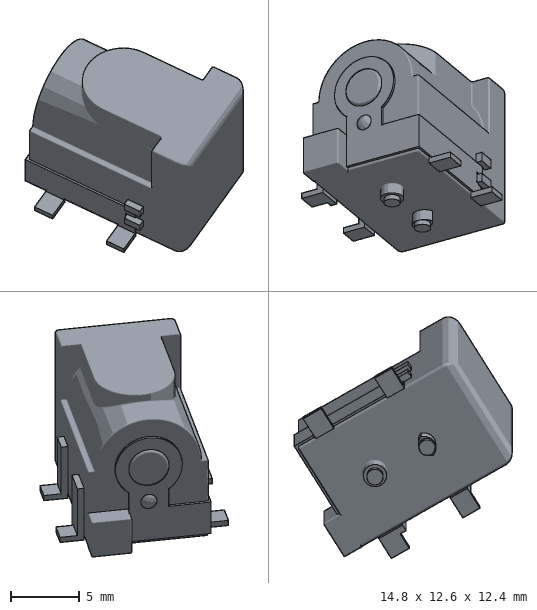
import cadquery as cq

HOUSING_FRONT = 1.4
HOUSING_BACK = 14.8
HOUSING_HALF_WIDTH = 4.5
HOUSING_HEIGHT = 11.2
BACK_ROUND = 1.0
LONG_EDGE_ROUND = 0.2
SMALL_ROUND = 0.1

AXIS_Z = 6.5
BARREL_RADIUS = 4.0
LEDGE_Z = AXIS_Z
COLLAR_X = 11.8
PAD_RADIUS = 3.0
PAD_CENTER_X = 6.81

BLOCK_INNER_Y = 1.5
BLOCK_HEIGHT = 2.99

PLATE_FRONT = 1.2
PLATE_SIDE_Y = -4.66
PLATE_BOTTOM = 0.31
PLATE_DISC_DIAMETER = 5.0
PLATE_END_X = 10.52
NOTCH_X = 9.71
NOTCH_TOP = 2.18
NOTCH_BOTTOM = 1.39
NOTCH_RAMP_END_Z = 0.99

RIVET_DIAMETER = 3.0
RIVET_FRONT = 0.99
RIVET_ROUND = 0.19
DOME_DIAMETER = 1.2
DOME_HEIGHT = 0.18
DOME_Z = 3.58

LUG_X = (9.81, 11.13)
LUG_OUTER_Y = -5.0
LUG_HEIGHTS = ((3.08, 3.8), (1.39, 2.05))

LEAD_SPANS_X = ((2.95, 4.48), (9.06, PLATE_END_X))
LEAD_TIP_TO_TIP = 12.6
LEAD_OUTER_Y = LEAD_TIP_TO_TIP / 2
LEAD_HALF_THICKNESS = 0.22
RISER_OUTER_Y = 5.0
RISER_TOP = 4.2
RISER_ENDS_X = (4.99, PLATE_END_X)

PEG_FRONT_X = 5.31
PEG_BACK_X = 9.77
PEG_DIAMETER = 1.7
PEG_TIP_DIAMETER = 1.2
PEG_ROOT_ROUND = 0.09
PEG_SHOULDER_Z = -0.83
PEG_TIP_Z = -1.2


def box(x_range, y_range, z_range):
    """Box between two limits on each axis."""
    size = [high - low for low, high in (x_range, y_range, z_range)]
    corner = (x_range[0], y_range[0], z_range[0])
    return cq.Workplane("XY").box(*size, centered=False).translate(corner)


def rod(x_range, z, diameter):
    """Cylinder along X on the centre plane."""
    plane = cq.Workplane("YZ", origin=(x_range[0], 0, z))
    return plane.circle(diameter / 2).extrude(x_range[1] - x_range[0])


def make_housing():
    width = (-HOUSING_HALF_WIDTH, HOUSING_HALF_WIDTH)
    body = box((HOUSING_FRONT, HOUSING_BACK), width, (0, HOUSING_HEIGHT))
    body = body.faces(">X").edges().fillet(BACK_ROUND)
    body = body.edges("|X").fillet(LONG_EDGE_ROUND)

    clearance = box((HOUSING_FRONT, COLLAR_X), width, (LEDGE_Z, HOUSING_HEIGHT))
    barrel = rod((HOUSING_FRONT, COLLAR_X), AXIS_Z, 2 * BARREL_RADIUS)
    pad = cq.Workplane("XY").center(PAD_CENTER_X, 0).circle(PAD_RADIUS).extrude(HOUSING_HEIGHT)
    pad = pad.union(box((PAD_CENTER_X, COLLAR_X), (-PAD_RADIUS, PAD_RADIUS), (0, HOUSING_HEIGHT)))
    body = body.cut(clearance.cut(barrel).cut(pad))

    front_edges = cq.selectors.BoxSelector(
        (HOUSING_FRONT - SMALL_ROUND, -HOUSING_HALF_WIDTH - SMALL_ROUND, BACK_ROUND),
        (COLLAR_X + SMALL_ROUND, HOUSING_HALF_WIDTH + SMALL_ROUND, HOUSING_HEIGHT + SMALL_ROUND),
    )
    pad_seams = cq.selectors.BoxSelector(
        (PAD_CENTER_X - SMALL_ROUND, -PAD_RADIUS - SMALL_ROUND, LEDGE_Z),
        (PAD_CENTER_X + SMALL_ROUND, PAD_RADIUS + SMALL_ROUND, HOUSING_HEIGHT),
    )
    sharp_edges = body.edges(front_edges - pad_seams).add(body.faces("<X").edges())
    return sharp_edges.fillet(SMALL_ROUND)


def make_front_block():
    block = box((0, HOUSING_FRONT + SMALL_ROUND), (BLOCK_INNER_Y, HOUSING_HALF_WIDTH), (0, BLOCK_HEIGHT))
    return block.edges("not >X").fillet(SMALL_ROUND)


def make_contact_plate():
    front = (PLATE_FRONT, HOUSING_FRONT + SMALL_ROUND)
    foot_z = (PLATE_BOTTOM, BLOCK_HEIGHT)
    plate = rod(front, AXIS_Z, PLATE_DISC_DIAMETER)
    plate = plate.union(box(front, (-BLOCK_INNER_Y, BLOCK_INNER_Y), (PLATE_BOTTOM, AXIS_Z)))
    plate = plate.union(box(front, (PLATE_SIDE_Y, BLOCK_INNER_Y), foot_z))

    side_outline = [
        (PLATE_FRONT, PLATE_BOTTOM),
        (PLATE_END_X, PLATE_BOTTOM),
        (PLATE_END_X, NOTCH_RAMP_END_Z),
        (NOTCH_X, NOTCH_BOTTOM),
        (NOTCH_X, NOTCH_TOP),
        (PLATE_END_X, NOTCH_TOP),
        (PLATE_END_X, BLOCK_HEIGHT),
        (PLATE_FRONT, BLOCK_HEIGHT),
    ]
    wing_plane = cq.Workplane("XZ", origin=(0, -HOUSING_HALF_WIDTH + SMALL_ROUND, 0))
    wing_depth = -HOUSING_HALF_WIDTH + SMALL_ROUND - PLATE_SIDE_Y
    return plate.union(wing_plane.polyline(side_outline).close().extrude(wing_depth))


def make_rivet():
    head = rod((RIVET_FRONT, HOUSING_FRONT), AXIS_Z, RIVET_DIAMETER)
    return head.faces("<X").edges().fillet(RIVET_ROUND)


def make_dome():
    radius = DOME_DIAMETER / 2
    outline = cq.Workplane("XY", origin=(0, 0, DOME_Z)).moveTo(HOUSING_FRONT, 0)
    outline = outline.lineTo(HOUSING_FRONT, radius).lineTo(PLATE_FRONT, radius)
    cap_radius = (radius**2 + DOME_HEIGHT**2) / (2 * DOME_HEIGHT)
    outline = outline.radiusArc((PLATE_FRONT - DOME_HEIGHT, 0), -cap_radius)
    return outline.close().revolve(360, (0, 0, 0), (1, 0, 0))


def make_lugs():
    lugs = cq.Workplane("XY")
    for z_range in LUG_HEIGHTS:
        lugs = lugs.add(box(LUG_X, (LUG_OUTER_Y, -HOUSING_HALF_WIDTH + SMALL_ROUND), z_range))
    return lugs


def make_leads():
    leads = cq.Workplane("XY")
    foot_z = (-LEAD_HALF_THICKNESS, LEAD_HALF_THICKNESS)
    for span, riser_end in zip(LEAD_SPANS_X, RISER_ENDS_X):
        leads = leads.add(box(span, (HOUSING_HALF_WIDTH, LEAD_OUTER_Y), foot_z))
        riser_z = (-LEAD_HALF_THICKNESS, RISER_TOP)
        leads = leads.add(box((span[0], riser_end), (HOUSING_HALF_WIDTH, RISER_OUTER_Y), riser_z))

        leads = leads.add(box(span, (-LEAD_OUTER_Y, -HOUSING_HALF_WIDTH), foot_z))
        tab_z = (-LEAD_HALF_THICKNESS, NOTCH_RAMP_END_Z)
        leads = leads.add(box(span, (PLATE_SIDE_Y, -HOUSING_HALF_WIDTH), tab_z))
    return leads


def make_pegs():
    peg_radius = PEG_DIAMETER / 2
    tip_radius = PEG_TIP_DIAMETER / 2
    front_peg = cq.Workplane("XZ", origin=(PEG_FRONT_X, 0, 0)).lineTo(peg_radius + PEG_ROOT_ROUND, 0)
    front_peg = front_peg.radiusArc((peg_radius, -PEG_ROOT_ROUND), -PEG_ROOT_ROUND)
    front_peg = front_peg.lineTo(peg_radius, PEG_SHOULDER_Z)
    front_peg = front_peg.lineTo(tip_radius, PEG_SHOULDER_Z)
    front_peg = front_peg.lineTo(tip_radius, PEG_TIP_Z).lineTo(0, PEG_TIP_Z)
    front_peg = front_peg.close().revolve(360, (0, 0, 0), (0, 1, 0))

    shank = cq.Workplane("XY", origin=(PEG_BACK_X, 0, 0)).moveTo(0, -peg_radius)
    shank = shank.threePointArc((tip_radius, 0), (0, peg_radius))
    shank = shank.threePointArc((-tip_radius, 0), (0, -peg_radius)).close()
    tip = cq.Workplane("XY", origin=(PEG_BACK_X, 0, 0)).circle(tip_radius).extrude(PEG_TIP_Z)
    back_peg = shank.extrude(PEG_SHOULDER_Z).union(tip)
    return front_peg.add(back_peg)


result = make_housing()
for feature in (
    make_front_block(),
    make_contact_plate(),
    make_rivet(),
    make_dome(),
    make_lugs(),
    make_leads(),
    make_pegs(),
):
    for solid in feature.vals():
        result = result.union(cq.Workplane(solid))